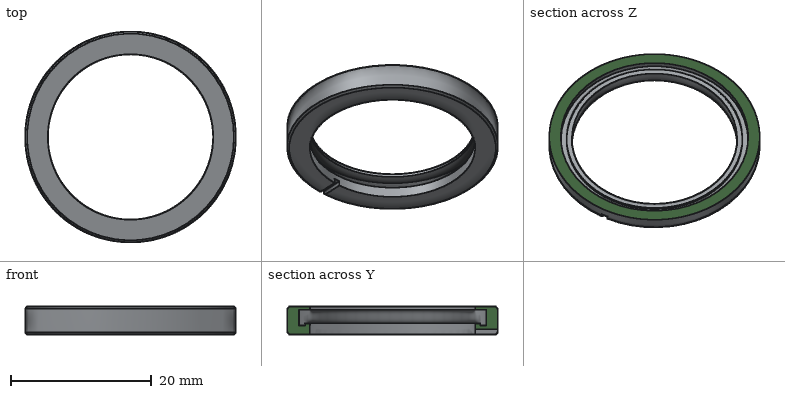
import cadquery as cq

outer_diameter = 30.0
bore_diameter = 23.5
height = 4.0
edge_chamfer = 0.3

lip_thickness = 0.5
shelf_height = 1.6
groove_diameter = 26.6

step_diameter = 25.0
step_depth = 0.3

notch_width = 0.9
notch_height = 0.75


def disc(diameter, bottom, top):
    """Solid disc on the Z axis between two heights."""
    return cq.Workplane("XY").workplane(offset=bottom).circle(diameter / 2).extrude(top - bottom)


def make_ring():
    """Chamfered outer ring with a plain through bore."""
    body = disc(outer_diameter, 0, height).edges().chamfer(edge_chamfer)
    return body.cut(disc(bore_diameter, 0, height))


def make_groove():
    """Inner groove with the sunken outer band of its floor."""
    lip_underside = height - lip_thickness
    groove = disc(groove_diameter, shelf_height, lip_underside)
    band_floor = shelf_height - step_depth
    band = disc(groove_diameter, band_floor, shelf_height).cut(
        disc(step_diameter, band_floor, shelf_height)
    )
    return groove.union(band)


def make_notch():
    """Radial slot reaching from the bore to the outside on the +X side."""
    return cq.Workplane("XY").box(
        outer_diameter / 2, notch_width, notch_height, centered=(False, True, False)
    )


result = make_ring().cut(make_groove()).cut(make_notch())